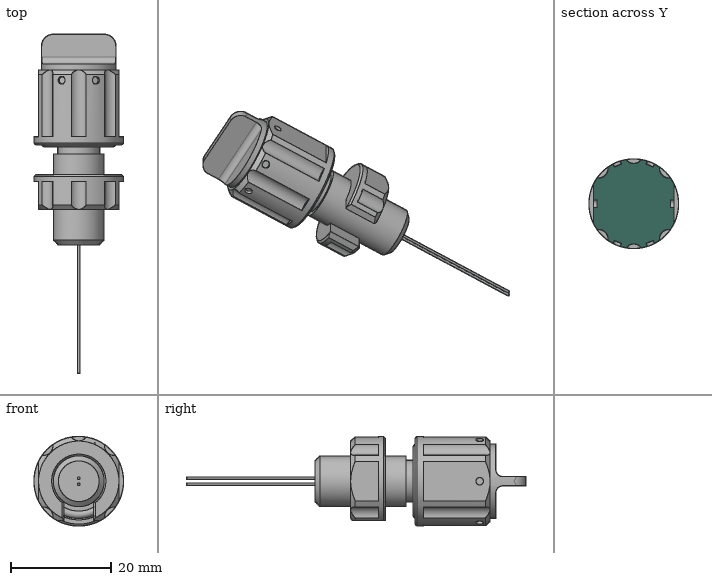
import cadquery as cq
import math

OVERALL_LENGTH = 67.8
REAR_Y = OVERALL_LENGTH / 2
FRONT_Y = -OVERALL_LENGTH / 2

BODY_RADIUS = 8.985
FLAT_HALF_WIDTH = 8.1
END_CHAMFER = 0.95
RIM_CHAMFER = 0.4
GROOVE_FLOOR_RADIUS = 8.1
GROOVE_HALF_WIDTH = 1.5
GROOVE_ANGLES = [angle for angle in range(0, 360, 45) if angle % 180 != 0]

GRIP_THICKNESS = 1.9
GRIP_CORNER_RADIUS = 2.4
GRIP_ROOT_RADIUS = 1.35
COLLAR_RADIUS = 7.45
COLLAR_REAR_Y = 27.9

CAP_REAR_Y = 26.8
CAP_GROOVE_END_Y = 13.4
CAP_FRONT_Y = 11.7
MARK_RADIUS = 0.75
MARK_DEPTH = 0.7
MARK_Y = 24.7
MARK_ANGLES = [0, 67.5, 112.5, 180, 247.5, 292.5]

SEAL_RADIUS = 6.7
SEAL_TUBE_RADIUS = 0.75
SEAL_FRONT_Y = 11.3
SEAL_CENTRE_Y = SEAL_FRONT_Y + SEAL_TUBE_RADIUS
RECESS_RADIUS = 7.7

NECK_RADIUS = 4.2
SHAFT_RADIUS = 5.1
SHAFT_REAR_Y = 10.0
SHAFT_FRONT_Y = -8.3
SHAFT_CHAMFER = 1.0
WIRE_RADIUS = 0.3
WIRE_OFFSET = 0.6

NUT_REAR_Y = 5.8
NUT_GROOVE_END_Y = 4.4
NUT_FRONT_Y = -1.15
NUT_BOTTOM_Z = -7.85
SLOT_HALF_WIDTH = 3.0
OPENING_CHAMFER = 0.35


def cylinder(radius, start_y, end_y, x=0, z=0):
    """Cylinder parallel to Y between two Y positions."""
    low_y, high_y = min(start_y, end_y), max(start_y, end_y)
    return cq.Workplane(
        cq.Solid.makeCylinder(radius, high_y - low_y, cq.Vector(x, low_y, z), cq.Vector(0, 1, 0))
    )


def grooved_body(chamfered_y, groove_end_y, rim_y):
    """Round body with side flats and grooves running from its chamfered end to a plain rim."""
    toward_rim = math.copysign(1, rim_y - chamfered_y)
    body = cq.Workplane("XY").polyline([
        (0, chamfered_y),
        (BODY_RADIUS - END_CHAMFER, chamfered_y),
        (BODY_RADIUS, chamfered_y + toward_rim * END_CHAMFER),
        (BODY_RADIUS, rim_y - toward_rim * RIM_CHAMFER),
        (BODY_RADIUS - RIM_CHAMFER, rim_y),
        (0, rim_y),
    ]).close().revolve(360, (0, 0, 0), (0, 1, 0))

    edge_radius = math.sqrt(BODY_RADIUS**2 - GROOVE_HALF_WIDTH**2)
    depth = edge_radius - GROOVE_FLOOR_RADIUS
    arc_radius = (GROOVE_HALF_WIDTH**2 + depth**2) / (2 * depth)
    arc_centre = GROOVE_FLOOR_RADIUS + arc_radius
    for angle in GROOVE_ANGLES:
        x = arc_centre * math.cos(math.radians(angle))
        z = arc_centre * math.sin(math.radians(angle))
        body = body.cut(cylinder(arc_radius, chamfered_y, groove_end_y, x, z))

    length = abs(groove_end_y - chamfered_y)
    for side in (-1, 1):
        flat = cq.Workplane("XY").box(BODY_RADIUS, length, 2 * BODY_RADIUS).translate(
            (side * (FLAT_HALF_WIDTH + BODY_RADIUS / 2), (chamfered_y + groove_end_y) / 2, 0)
        )
        body = body.cut(flat)
    return body


def make_grip():
    """Flat finger grip with rounded corners and a filleted root, within the collar diameter."""
    half = GRIP_THICKNESS / 2
    root = half + GRIP_ROOT_RADIUS
    bend_y = COLLAR_REAR_Y + GRIP_ROOT_RADIUS
    arc_step = GRIP_ROOT_RADIUS * (1 - math.sqrt(0.5))
    profile = (
        cq.Workplane("YZ")
        .moveTo(CAP_REAR_Y, -root)
        .lineTo(COLLAR_REAR_Y, -root)
        .threePointArc((COLLAR_REAR_Y + arc_step, -half - arc_step), (bend_y, -half))
        .lineTo(REAR_Y, -half)
        .lineTo(REAR_Y, half)
        .lineTo(bend_y, half)
        .threePointArc((COLLAR_REAR_Y + arc_step, half + arc_step), (COLLAR_REAR_Y, root))
        .lineTo(CAP_REAR_Y, root)
        .close()
        .extrude(COLLAR_RADIUS, both=True)
    )
    outline = (
        cq.Workplane("XY")
        .box(2 * COLLAR_RADIUS, 2 * (REAR_Y - CAP_REAR_Y), 2 * COLLAR_RADIUS)
        .translate((0, CAP_REAR_Y, 0))
        .edges("|Z and >Y")
        .fillet(GRIP_CORNER_RADIUS)
    )
    return profile.intersect(outline).intersect(cylinder(COLLAR_RADIUS, CAP_REAR_Y, REAR_Y))


def make_cap():
    """Grooved cap with its marking holes and the recess for the seal ring."""
    cap = grooved_body(CAP_REAR_Y, CAP_GROOVE_END_Y, CAP_FRONT_Y)
    for angle in MARK_ANGLES:
        surface = FLAT_HALF_WIDTH if angle % 180 == 0 else BODY_RADIUS
        across = cq.Vector(math.cos(math.radians(angle)), 0, math.sin(math.radians(angle)))
        start = across * (surface - MARK_DEPTH) + cq.Vector(0, MARK_Y, 0)
        cap = cap.cut(cq.Workplane(cq.Solid.makeCylinder(MARK_RADIUS, 2 * MARK_DEPTH, start, across)))
    return cap.cut(cylinder(RECESS_RADIUS, CAP_FRONT_Y, SEAL_CENTRE_Y))


def make_plug():
    """One solid: grip, collar, cap, seal ring, neck, shaft and the two wires."""
    collar = cylinder(COLLAR_RADIUS, CAP_REAR_Y, COLLAR_REAR_Y)
    seal = cq.Workplane(
        cq.Solid.makeTorus(SEAL_RADIUS, SEAL_TUBE_RADIUS, cq.Vector(0, SEAL_CENTRE_Y, 0), cq.Vector(0, 1, 0))
    )
    neck = cylinder(NECK_RADIUS, SHAFT_REAR_Y, SEAL_CENTRE_Y)
    shaft = cylinder(SHAFT_RADIUS, SHAFT_FRONT_Y, SHAFT_REAR_Y).faces("<Y").chamfer(SHAFT_CHAMFER)
    plug = make_cap().union(collar).union(make_grip()).union(seal).union(neck).union(shaft)
    for side in (-1, 1):
        plug = plug.union(cylinder(WIRE_RADIUS, FRONT_Y, SHAFT_FRONT_Y, z=side * WIRE_OFFSET))
    return plug


def make_nut():
    """Grooved nut with a bottom flat, and a bore and downward slot chamfered at the front."""
    nut = grooved_body(NUT_FRONT_Y, NUT_GROOVE_END_Y, NUT_REAR_Y)
    chamfer_end_y = NUT_FRONT_Y + OPENING_CHAMFER
    bore = cq.Workplane("XY").polyline([
        (0, NUT_FRONT_Y),
        (SHAFT_RADIUS + OPENING_CHAMFER, NUT_FRONT_Y),
        (SHAFT_RADIUS, chamfer_end_y),
        (SHAFT_RADIUS, NUT_REAR_Y),
        (0, NUT_REAR_Y),
    ]).close().revolve(360, (0, 0, 0), (0, 1, 0))
    slot = cq.Workplane("XY").polyline([
        (-SLOT_HALF_WIDTH - OPENING_CHAMFER, NUT_FRONT_Y),
        (SLOT_HALF_WIDTH + OPENING_CHAMFER, NUT_FRONT_Y),
        (SLOT_HALF_WIDTH, chamfer_end_y),
        (SLOT_HALF_WIDTH, NUT_REAR_Y),
        (-SLOT_HALF_WIDTH, NUT_REAR_Y),
        (-SLOT_HALF_WIDTH, chamfer_end_y),
    ]).close().extrude(-BODY_RADIUS)
    below_flat = cq.Workplane("XY").box(
        2 * BODY_RADIUS, 2 * BODY_RADIUS, BODY_RADIUS, centered=(True, True, False)
    ).translate((0, NUT_FRONT_Y, NUT_BOTTOM_Z - BODY_RADIUS))
    return nut.cut(bore).cut(slot).cut(below_flat)


plug = make_plug()
nut = make_nut()
result = cq.Compound.makeCompound([plug.val(), nut.val()])